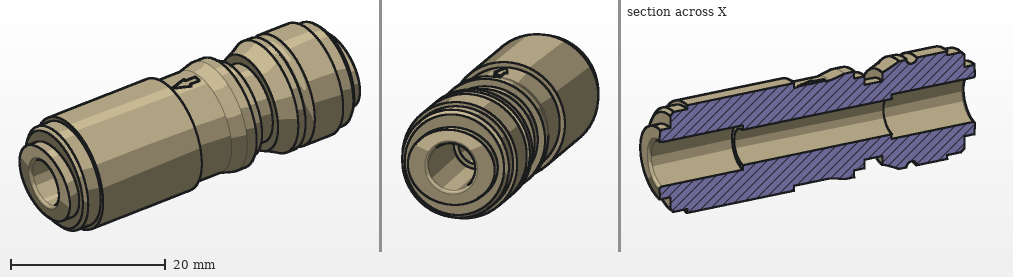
import cadquery as cq
import math

overall_length = 45.45

body_radius = 7.75
end_ring_radius = 7.2
barrel_radius = 7.05
collar_radius = 7.6
shoulder_radius = 6.62
neck_radius = 5.4

sleeve_width = 11.7
sleeve_height = 10.0
sleeve_projection = 1.55
sleeve_face_rise = 0.1

end_ring_length = 2.45
end_ring_chamfer = 0.5

groove_start = 8.43
groove_radius = 0.72
rear_taper_start = 11.0
neck_start = 13.4
shoulder_start = 15.9
collar_start = 17.4
front_taper_start = 18.85
barrel_start = 20.95
front_body_start = 26.05
rear_taper_sag = 0.06

tube_bore_radius = 3.15
tube_bore_depth = 12.0
bore_mouth_fillet = 0.4
bore_mouth_radius = tube_bore_radius + bore_mouth_fillet
through_hole_radius = 2.5

arrow_start = 21.55
arrow_shaft_length = 1.5
arrow_head_length = 2.45
arrow_shaft_width = 1.0
arrow_head_width = 1.8
arrow_height = 0.1


def along(station):
    """Y coordinate of a station measured from the rear end."""
    return overall_length / 2 - station


def make_turned_body():
    rear_face = sleeve_projection
    front_face = overall_length - sleeve_projection
    rear_body_start = rear_face + end_ring_length
    front_body_end = front_face - end_ring_length
    ring_face_radius = end_ring_radius - end_ring_chamfer
    groove_end = groove_start + 2 * groove_radius
    taper_middle = (rear_taper_start + neck_start) / 2
    taper_middle_radius = (body_radius + shoulder_radius) / 2 - rear_taper_sag

    profile = (
        cq.Workplane("XY")
        .moveTo(0, along(rear_face))
        .lineTo(ring_face_radius, along(rear_face))
        .lineTo(end_ring_radius, along(rear_face + end_ring_chamfer))
        .lineTo(end_ring_radius, along(rear_body_start))
        .lineTo(body_radius, along(rear_body_start))
        .lineTo(body_radius, along(groove_start))
        .threePointArc(
            (body_radius - groove_radius, along(groove_start + groove_radius)),
            (body_radius, along(groove_end)),
        )
        .lineTo(body_radius, along(rear_taper_start))
        .threePointArc(
            (taper_middle_radius, along(taper_middle)),
            (shoulder_radius, along(neck_start)),
        )
        .lineTo(neck_radius, along(neck_start))
        .lineTo(neck_radius, along(shoulder_start))
        .lineTo(shoulder_radius, along(shoulder_start))
        .lineTo(shoulder_radius, along(collar_start))
        .lineTo(collar_radius, along(collar_start))
        .lineTo(collar_radius, along(front_taper_start))
        .lineTo(barrel_radius, along(barrel_start))
        .lineTo(barrel_radius, along(front_body_start))
        .lineTo(body_radius, along(front_body_start))
        .lineTo(body_radius, along(front_body_end))
        .lineTo(end_ring_radius, along(front_body_end))
        .lineTo(end_ring_radius, along(front_face - end_ring_chamfer))
        .lineTo(ring_face_radius, along(front_face))
        .lineTo(0, along(front_face))
        .close()
    )
    return profile.revolve(360, (0, 0, 0), (0, 1, 0))


def make_front_sleeve():
    """Oval sleeve whose end face rises slightly from the flat oval rim to the round bore mouth."""
    ring_face = overall_length / 2 - sleeve_projection
    rim_projection = sleeve_projection - sleeve_face_rise
    straight_part = (
        cq.Workplane("XZ", origin=(0, -ring_face, 0))
        .ellipse(sleeve_width / 2, sleeve_height / 2)
        .extrude(rim_projection)
    )
    sloping_face = (
        cq.Workplane("XZ", origin=(0, -ring_face - rim_projection, 0))
        .ellipse(sleeve_width / 2, sleeve_height / 2)
        .workplane(offset=sleeve_face_rise)
        .circle(bore_mouth_radius)
        .loft(ruled=True)
    )
    return straight_part.union(sloping_face)


def make_passage():
    """Through hole opened out to a round-lipped tube bore at each end."""
    half_length = overall_length / 2
    bore_floor = half_length - tube_bore_depth
    lip_start = half_length - bore_mouth_fillet
    lip_centre = (bore_mouth_radius, lip_start)
    lip_reach = bore_mouth_fillet * math.cos(math.radians(45))
    lip_middle = (lip_centre[0] - lip_reach, lip_centre[1] + lip_reach)
    tube_bore = (
        cq.Workplane("XY")
        .moveTo(0, bore_floor)
        .lineTo(tube_bore_radius, bore_floor)
        .lineTo(tube_bore_radius, lip_start)
        .threePointArc(lip_middle, (bore_mouth_radius, half_length))
        .lineTo(0, half_length)
        .close()
        .revolve(360, (0, 0, 0), (0, 1, 0))
    )
    through_hole = cq.Workplane("XZ").circle(through_hole_radius).extrude(half_length, both=True)
    return through_hole.union(tube_bore).union(tube_bore.mirror("XZ"))


def make_flow_arrow():
    """Arrow pointing to -Y whose top face follows the barrel."""
    head_start = arrow_start + arrow_shaft_length
    outline = (
        cq.Workplane("XY")
        .moveTo(-arrow_shaft_width / 2, along(arrow_start))
        .lineTo(arrow_shaft_width / 2, along(arrow_start))
        .lineTo(arrow_shaft_width / 2, along(head_start))
        .lineTo(arrow_head_width / 2, along(head_start))
        .lineTo(0, along(head_start + arrow_head_length))
        .lineTo(-arrow_head_width / 2, along(head_start))
        .lineTo(-arrow_shaft_width / 2, along(head_start))
        .close()
    )
    prism = outline.extrude(body_radius)
    raised_surface = (
        cq.Workplane("XZ")
        .circle(barrel_radius + arrow_height)
        .extrude(overall_length / 2, both=True)
    )
    return prism.intersect(raised_surface)


def make_fitting():
    front_sleeve = make_front_sleeve()
    rear_sleeve = front_sleeve.mirror("XZ")
    solid = make_turned_body().union(front_sleeve).union(rear_sleeve).union(make_flow_arrow())
    return solid.cut(make_passage())


result = make_fitting()